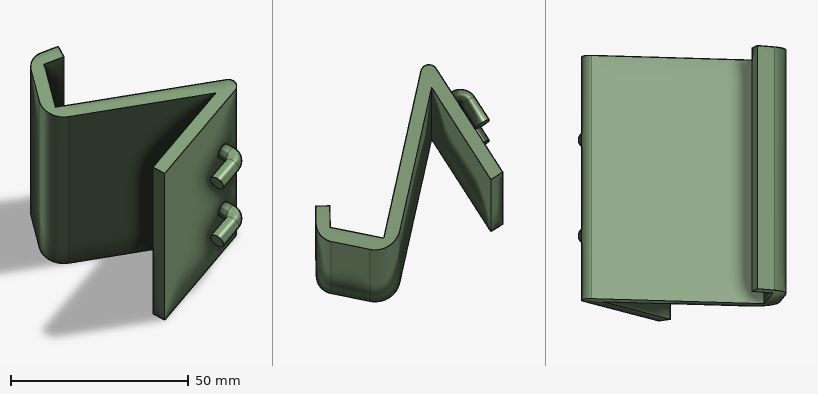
import cadquery as cq
import math

height = 70.0
thickness = 4.0
plate_face_length = 41.15
wall_length = 55.1
floor_length = 15.3
lip_length = 6.2
plate_heading = 90.0
wall_heading = 225.6
floor_heading = 136.2
lip_heading = 59.4

peak_radius = 2.4
valley_radius = 7.15
heel_radius = 5.3

pin_diameter = 4.5
pin_stub = 2.5
pin_bend_radius = 2.5
pin_leg = 7.7
pin_y = 29.0
pin_lower_z = 20.6
pin_spacing = 27.6


def step(point, heading, distance):
    """Point reached by moving a distance from a point along a heading."""
    angle = math.radians(heading)
    return (point[0] + distance * math.cos(angle), point[1] + distance * math.sin(angle))


def mitre(point, heading_in, heading_out):
    """Corner on the strip's left face opposite a corner on its right face."""
    turn = math.radians(heading_out - heading_in)
    bisector = (heading_in + heading_out) / 2 + 90
    return step(point, bisector, thickness / math.cos(turn / 2))


def round_edge(body, corner, radius):
    """Round the vertical edge that stands on a profile corner."""
    edge_point = (corner[0], corner[1], height / 2)
    return body.edges(cq.selectors.NearestToPointSelector(edge_point)).fillet(radius)


def make_strip():
    foot = (0.0, 0.0)
    peak = step(foot, plate_heading, plate_face_length)
    valley = step(peak, wall_heading, wall_length)
    heel = step(valley, floor_heading, floor_length)
    tip = step(heel, lip_heading, lip_length)

    foot_back = mitre(foot, plate_heading, plate_heading)
    peak_back = mitre(peak, plate_heading, wall_heading)
    valley_back = mitre(valley, wall_heading, floor_heading)
    heel_back = mitre(heel, floor_heading, lip_heading)
    tip_back = mitre(tip, lip_heading, lip_heading)

    outline = [foot, peak, valley, heel, tip, tip_back, heel_back, valley_back, peak_back, foot_back]
    strip = cq.Workplane("XY").polyline(outline).close().extrude(height)
    strip = round_edge(strip, peak, peak_radius)
    strip = round_edge(strip, valley_back, valley_radius)
    return round_edge(strip, heel_back, heel_radius)


def make_pin(z):
    """Round pin leaving the plate along +X and bending to -Y."""
    root_x = -thickness / 2
    leg_x = pin_stub + pin_bend_radius
    leg_top_y = pin_y - pin_bend_radius
    path = (
        cq.Workplane("XY", origin=(0, 0, z))
        .moveTo(root_x, pin_y)
        .lineTo(pin_stub, pin_y)
        .radiusArc((leg_x, leg_top_y), pin_bend_radius)
        .lineTo(leg_x, leg_top_y - pin_leg)
    )
    section = cq.Workplane("YZ", origin=(root_x, pin_y, z)).circle(pin_diameter / 2)
    return section.sweep(path)


result = make_strip()
for pin_z in (pin_lower_z, pin_lower_z + pin_spacing):
    result = result.union(make_pin(pin_z))